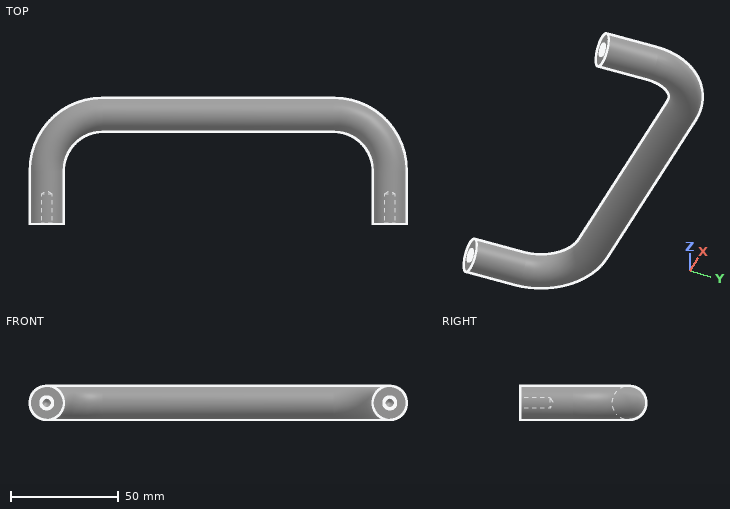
import cadquery as cq
import math

overall_length = 176.0
overall_depth = 59.0
bar_diameter = 16.0
bend_radius = 26.0

hole_diameter = 5.0
hole_depth = 14.0
mouth_diameter = 6.0
drill_point_angle = 118.0

bar_radius = bar_diameter / 2
foot_x = overall_length / 2 - bar_radius
foot_y = -overall_depth / 2
grip_y = overall_depth / 2 - bar_radius
bend_x = foot_x - bend_radius
bend_y = grip_y - bend_radius
bend_offset = bend_radius * math.sin(math.radians(45))


def make_bar():
    """Round bar swept along a leg, a bend, the grip, a bend and a leg."""
    center_line = (
        cq.Workplane("XY")
        .moveTo(-foot_x, foot_y)
        .lineTo(-foot_x, bend_y)
        .threePointArc((-bend_x - bend_offset, bend_y + bend_offset), (-bend_x, grip_y))
        .lineTo(bend_x, grip_y)
        .threePointArc((bend_x + bend_offset, bend_y + bend_offset), (foot_x, bend_y))
        .lineTo(foot_x, foot_y)
    )
    foot_plane = cq.Plane(origin=(-foot_x, foot_y, 0), xDir=(1, 0, 0), normal=(0, 1, 0))
    return cq.Workplane(foot_plane).circle(bar_radius).sweep(center_line)


def make_fixing_hole(x):
    """Revolved cutter: 45 degree countersink, straight bore and drill-point bottom."""
    hole_radius = hole_diameter / 2
    mouth_radius = mouth_diameter / 2
    countersink_depth = mouth_radius - hole_radius
    point_depth = hole_radius / math.tan(math.radians(drill_point_angle / 2))
    foot_center_plane = cq.Plane(origin=(x, foot_y, 0))
    return (
        cq.Workplane(foot_center_plane)
        .polyline([
            (0, 0),
            (mouth_radius, 0),
            (hole_radius, countersink_depth),
            (hole_radius, hole_depth),
            (0, hole_depth + point_depth),
        ])
        .close()
        .revolve(360, (0, 0), (0, 1))
    )


result = make_bar()
for hole_x in (-foot_x, foot_x):
    result = result.cut(make_fixing_hole(hole_x))